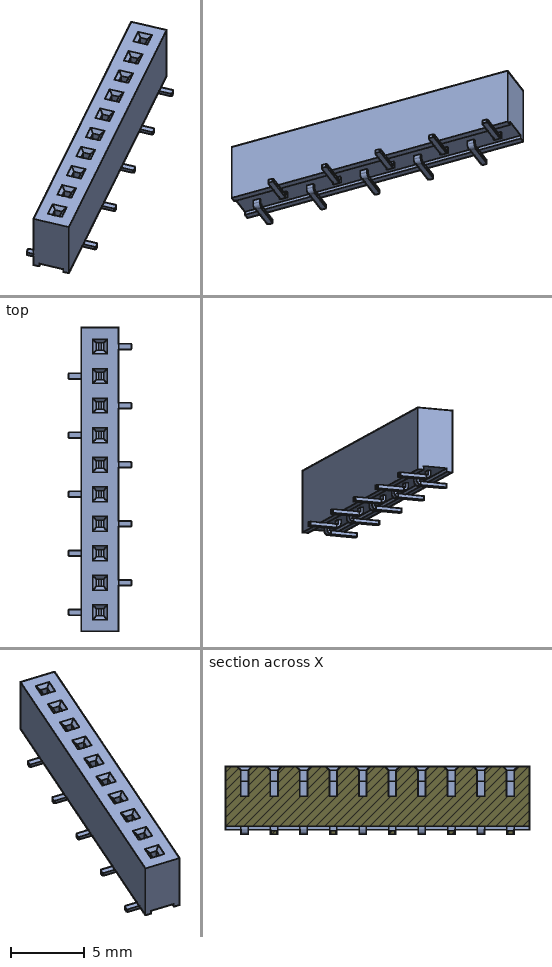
import cadquery as cq

contact_count = 10
pitch = 2.0

body_width = 2.54
end_margin = 1.3
body_length = (contact_count - 1) * pitch + 2 * end_margin
body_bottom = 0.3
overall_height = 4.6
body_height = overall_height - body_bottom

channel_width = 1.7
channel_depth = 0.25

entry_size = 1.0
hole_size = 0.5
funnel_depth = 0.25
hole_depth = 2.0

blade_width = 0.5
blade_thickness = 0.2
blade_depth = 1.0
bend_radius = 0.3
tail_span = 4.3
tail_width = 0.4
tail_thickness = 0.25
tip_chamfer = 0.07


def contact_y(index):
    return (index - (contact_count - 1) / 2) * pitch


def make_body():
    body = cq.Workplane("XY").box(
        body_width, body_length, body_height, centered=(True, True, False)
    )
    channel = cq.Workplane("XY").box(
        channel_width, body_length, channel_depth, centered=(True, True, False)
    )
    return body.cut(channel).translate((0, 0, body_bottom))


def make_entry():
    funnel = (
        cq.Workplane("XY", origin=(0, 0, overall_height))
        .rect(entry_size, entry_size)
        .workplane(offset=-funnel_depth)
        .rect(hole_size, hole_size)
        .loft(ruled=True)
    )
    hole = cq.Workplane("XY", origin=(0, 0, overall_height - hole_depth)).box(
        hole_size, hole_size, hole_depth - funnel_depth, centered=(True, True, False)
    )
    return funnel.union(hole)


def make_contact():
    """Contact with its tail pointing toward +X."""
    blade_side = blade_thickness / 2
    blade_tip = overall_height - blade_depth
    bend_end = bend_radius - blade_side
    blade = (
        cq.Workplane("XZ")
        .moveTo(-blade_side, blade_tip)
        .lineTo(-blade_side, bend_radius)
        .radiusArc((bend_end, 0), -bend_radius)
        .lineTo(bend_end, tail_thickness)
        .lineTo(blade_side, tail_thickness)
        .lineTo(blade_side, blade_tip)
        .close()
        .extrude(blade_width / 2, both=True)
    )
    tail = (
        cq.Workplane("XY", origin=(bend_end, 0, 0))
        .box(
            tail_span / 2 - bend_end, tail_width, tail_thickness, centered=(False, True, False)
        )
        .faces(">X")
        .edges("|Z")
        .chamfer(tip_chamfer)
    )
    return blade.union(tail)


def make_header():
    header = make_body()
    entry = make_entry()
    right_contact = make_contact()
    left_contact = right_contact.mirror("YZ")
    for index in range(contact_count):
        place = (0, contact_y(index), 0)
        header = header.cut(entry.translate(place))
        contact = left_contact if index % 2 == 0 else right_contact
        header = header.union(contact.translate(place))
    return header


result = make_header()